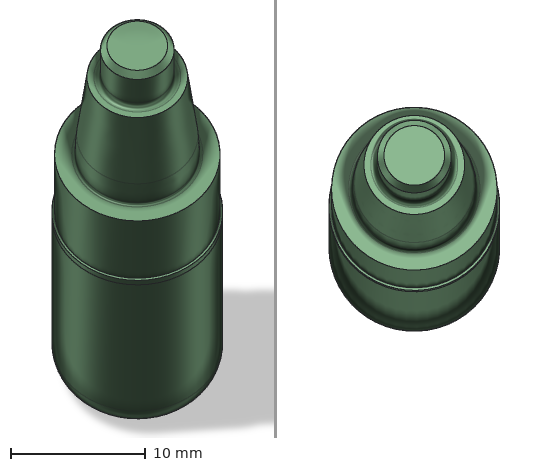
import cadquery as cq
import math

TOTAL_HEIGHT = 40.6

CUP_RADIUS = 12.7 / 2
CUP_HEIGHT = 19.05
CUP_BOTTOM_FILLET = 3.0

COLLAR_TOP = 19.6
SHANK_RADIUS = 12.3 / 2
SHANK_TOP = 26.88

NECK_BASE_RADIUS = 4.63
NECK_BASE_FILLET = 0.25
TAPER_START = 29.3
TAPER_ANGLE = math.radians(6)
NECK_TOP = 36.65

TIP_RADIUS = 5.5 / 2
TIP_BASE_FILLET = 0.5
TIP_CHAMFER = 0.5


def make_cup():
    """Solid cylinder with a rounded bottom edge."""
    cup = cq.Workplane("XY").circle(CUP_RADIUS).extrude(CUP_HEIGHT)
    return cup.faces("<Z").edges().fillet(CUP_BOTTOM_FILLET)


def concave_fillet_middle(radius, shoulder_z, fillet):
    """Middle point of the fillet between a post of given radius and the shoulder below it."""
    inset = fillet * (1 - math.sqrt(0.5))
    return radius + inset, shoulder_z + inset


def make_plug():
    """Revolved collar, shank, tapered neck and tip."""
    curve_start = SHANK_TOP + NECK_BASE_FILLET
    curve_radius = (TAPER_START - curve_start) / math.sin(TAPER_ANGLE)
    curve_centre = NECK_BASE_RADIUS - curve_radius
    curve_middle = (
        curve_centre + curve_radius * math.cos(TAPER_ANGLE / 2),
        curve_start + curve_radius * math.sin(TAPER_ANGLE / 2),
    )
    taper_start_radius = curve_centre + curve_radius * math.cos(TAPER_ANGLE)
    neck_top_radius = taper_start_radius - (NECK_TOP - TAPER_START) * math.tan(TAPER_ANGLE)

    profile = (
        cq.Workplane("XZ")
        .moveTo(0, CUP_HEIGHT)
        .lineTo(CUP_RADIUS, CUP_HEIGHT)
        .lineTo(CUP_RADIUS, COLLAR_TOP)
        .lineTo(SHANK_RADIUS, COLLAR_TOP)
        .lineTo(SHANK_RADIUS, SHANK_TOP)
        .lineTo(NECK_BASE_RADIUS + NECK_BASE_FILLET, SHANK_TOP)
        .threePointArc(
            concave_fillet_middle(NECK_BASE_RADIUS, SHANK_TOP, NECK_BASE_FILLET),
            (NECK_BASE_RADIUS, curve_start),
        )
        .threePointArc(curve_middle, (taper_start_radius, TAPER_START))
        .lineTo(neck_top_radius, NECK_TOP)
        .lineTo(TIP_RADIUS + TIP_BASE_FILLET, NECK_TOP)
        .threePointArc(
            concave_fillet_middle(TIP_RADIUS, NECK_TOP, TIP_BASE_FILLET),
            (TIP_RADIUS, NECK_TOP + TIP_BASE_FILLET),
        )
        .lineTo(TIP_RADIUS, TOTAL_HEIGHT - TIP_CHAMFER)
        .lineTo(TIP_RADIUS - TIP_CHAMFER, TOTAL_HEIGHT)
        .lineTo(0, TOTAL_HEIGHT)
        .close()
    )
    return profile.revolve(360, (0, 0, 0), (0, 1, 0))


cup = make_cup()
plug = make_plug()
result = cq.Compound.makeCompound([cup.val(), plug.val()])